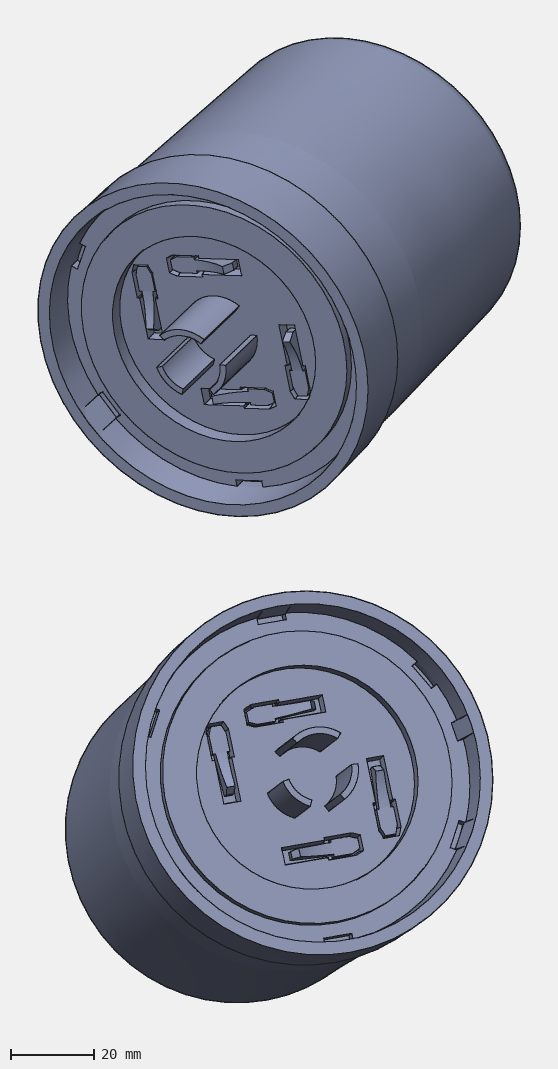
import cadquery as cq
import math


rim_radius = 44.3
skirt_top_radius = 44.0
skirt_height = 17.4
skirt_fillet = 1.1
body_radius = 42.5
straight_end = 32.6
shoulder_radius = 40.9
shoulder_height = 87.4
dome_edge_radius = 38.3
dome_edge_height = 91.1
overall_length = 107.2
long_prong_reach = 9.0
dome_height = overall_length - long_prong_reach

bore_rim_radius = 41.2
seat_radius = 40.5
floor_depth = 8.5
base_thickness = 8.9
seat_depth = floor_depth + base_thickness

base_turn = 12.0
first_pad_angle = base_turn + 90
pad_count = 3
pad_width = 7.1
pad_inner_radius = 40.0
pad_root_radius = 42.0
key_angle = 19.3
key_width = 4.6
key_inner_radius = 38.9

boss_radius = 35.6
boss_height = 2.5
recess_radius = 27.2
recess_depth = 3.9
boss_face = floor_depth - boss_height
recess_face = boss_face + recess_depth

notch_count = 2 * pad_count
notch_width = pad_width
notch_inner_radius = 38.7
notch_depth = 3.2

prong_outer_radius = 9.7
prong_inner_radius = 8.0
short_prong_reach = 6.9
prongs = [
    (60.0, 137.0, long_prong_reach),
    (202.0, 257.0, short_prong_reach),
    (310.0, 368.5, short_prong_reach),
]

slot_places = [
    (base_turn, 0.0, 17.4),
    (base_turn - 90, -6.3, -18.4),
]
slot_narrow_end = 8.8
slot_step = -2.0
slot_wide_end = -10.9
slot_narrow_width = 4.3
slot_wide_width = 5.6
slot_corner_length = 2.0
slot_corner_width = 0.9
slot_depth = 2.7
slot_gap = 0.6
slot_draft_angle = 9.0
contact_bend = -3.6
contact_peak = 5.1
contact_tip = 6.6
contact_tip_width = 1.9
contact_foot_height = 2.1
contact_mid_height = 2.8
contact_peak_height = 4.5


def plane_at(depth):
    """Sketch plane square to the axis at Y = depth, facing -Y."""
    return cq.Workplane("XZ", origin=(0, depth, 0))


def turn(shape, angle):
    """Turn a shape about the axis, from +X towards +Z."""
    return shape.rotate((0, 0, 0), (0, 1, 0), -angle)


def make_cover_blank():
    """Revolved dome, tapered wall and skirt, with the stepped bore for the base."""
    sphere_drop = dome_height - dome_edge_height
    sphere_radius = (dome_edge_radius**2 + sphere_drop**2) / (2 * sphere_drop)
    mid_radius = dome_edge_radius / 2
    mid_height = dome_height - sphere_radius + math.sqrt(sphere_radius**2 - mid_radius**2)
    dome_slope = (-math.sqrt(sphere_radius**2 - dome_edge_radius**2), dome_edge_radius)
    wall_slope = (shoulder_radius - body_radius, shoulder_height - straight_end)
    return (
        cq.Workplane("XY")
        .moveTo(0, seat_depth)
        .lineTo(seat_radius, seat_depth)
        .lineTo(seat_radius, floor_depth)
        .lineTo(bore_rim_radius, 0)
        .lineTo(rim_radius, 0)
        .lineTo(skirt_top_radius, skirt_height - skirt_fillet)
        .radiusArc((skirt_top_radius - skirt_fillet, skirt_height), -skirt_fillet)
        .lineTo(body_radius, skirt_height)
        .lineTo(body_radius, straight_end)
        .lineTo(shoulder_radius, shoulder_height)
        .spline(
            [(dome_edge_radius, dome_edge_height)],
            tangents=[wall_slope, dome_slope],
            includeCurrent=True,
        )
        .threePointArc((mid_radius, mid_height), (0, dome_height))
        .close()
        .revolve(360, (0, 0, 0), (0, 1, 0))
    )


def make_wedge(inner_radius, width):
    """Pad on the bore wall that tapers out to nothing at the rim."""
    return (
        cq.Workplane("XY")
        .moveTo(bore_rim_radius, 0)
        .lineTo(pad_root_radius, 0)
        .lineTo(pad_root_radius, floor_depth)
        .lineTo(inner_radius, floor_depth)
        .close()
        .extrude(width / 2, both=True)
    )


def make_cover():
    """Cover with the snap pads and the orientation key inside its skirt."""
    cover = make_cover_blank()
    for index in range(pad_count):
        angle = first_pad_angle + index * 360 / pad_count
        cover = cover.union(turn(make_wedge(pad_inner_radius, pad_width), angle))
    return cover.union(turn(make_wedge(key_inner_radius, key_width), key_angle))


def make_prong(start, end, reach):
    """Curved blade between two angles, from the recess floor to beyond the rim."""

    def point(radius, angle):
        return radius * math.cos(math.radians(angle)), radius * math.sin(math.radians(angle))

    middle = (start + end) / 2
    return (
        plane_at(recess_face)
        .moveTo(*point(prong_outer_radius, start))
        .threePointArc(point(prong_outer_radius, middle), point(prong_outer_radius, end))
        .lineTo(*point(prong_inner_radius, end))
        .threePointArc(point(prong_inner_radius, middle), point(prong_inner_radius, start))
        .close()
        .extrude(recess_face + reach)
    )


def slot_outline(depth, inset):
    """Keyhole outline at Y = depth; inset moves every side inwards."""
    narrow = slot_narrow_width / 2 - inset
    wide = slot_wide_width / 2 - inset
    step = slot_step - inset
    blunt_end = slot_wide_end + inset
    half_outline = [
        (slot_narrow_end - inset, narrow),
        (step, narrow),
        (step, wide),
        (blunt_end + slot_corner_length, wide),
        (blunt_end, wide - slot_corner_width),
    ]
    mirrored = [(x, -z) for x, z in reversed(half_outline)]
    return plane_at(depth).polyline(half_outline + mirrored).close()


def make_slot():
    """Cutter for one slot, with walls that draw in towards the slot floor."""
    return slot_outline(recess_face, 0).extrude(-slot_depth, taper=slot_draft_angle)


def make_contact():
    """Spring contact on the slot floor: a flat foot and a tongue that curves up to a peak."""
    floor = recess_face + slot_depth
    tongue_width = slot_narrow_width - 2 * slot_gap
    tongue_middle = (contact_bend + contact_peak) / 2
    tongue = (
        cq.Workplane("XY")
        .moveTo(contact_bend, floor)
        .lineTo(contact_bend, floor - contact_foot_height)
        .threePointArc(
            (tongue_middle, floor - contact_mid_height),
            (contact_peak, floor - contact_peak_height),
        )
        .lineTo(contact_tip, floor - contact_foot_height)
        .lineTo(contact_tip, floor)
        .close()
        .extrude(tongue_width / 2, both=True)
    )
    tapered_plan = (
        plane_at(floor)
        .moveTo(contact_bend, tongue_width / 2)
        .lineTo(contact_tip, contact_tip_width / 2)
        .lineTo(contact_tip, -contact_tip_width / 2)
        .lineTo(contact_bend, -tongue_width / 2)
        .close()
        .extrude(contact_peak_height)
    )
    foot_length = contact_bend - slot_wide_end
    foot_area = (
        plane_at(floor)
        .center(slot_wide_end + foot_length / 2, 0)
        .rect(foot_length, slot_wide_width)
        .extrude(contact_foot_height)
    )
    foot = slot_outline(floor, slot_gap).extrude(contact_foot_height).intersect(foot_area)
    return foot.union(tongue.intersect(tapered_plan))


def make_notch():
    """Block that cuts a flat-sided notch into the edge of the base on the +X side."""
    return (
        plane_at(floor_depth + notch_depth)
        .center((notch_inner_radius + pad_root_radius) / 2, 0)
        .rect(pad_root_radius - notch_inner_radius, notch_width)
        .extrude(notch_depth)
    )


def make_base():
    """Plug base: stepped disc with edge notches, prongs and contact slots."""
    base = plane_at(seat_depth).circle(seat_radius).extrude(base_thickness)
    base = base.union(plane_at(floor_depth).circle(boss_radius).extrude(boss_height))
    base = base.cut(plane_at(recess_face).circle(recess_radius).extrude(recess_depth))
    for index in range(notch_count):
        angle = first_pad_angle + index * 360 / notch_count
        base = base.cut(turn(make_notch(), angle))
    for start, end, reach in prongs:
        base = base.union(make_prong(start, end, reach))
    slot = make_slot()
    contact = make_contact()
    for angle, slide, offset in slot_places:
        for half_turn in (0, 180):
            placed_slot = turn(slot.translate((slide, 0, offset)), angle + half_turn)
            placed_contact = turn(contact.translate((slide, 0, offset)), angle + half_turn)
            base = base.cut(placed_slot).union(placed_contact)
    return base


cover = make_cover()
base = make_base()
result = cq.Compound.makeCompound([cover.solids().val(), base.solids().val()])